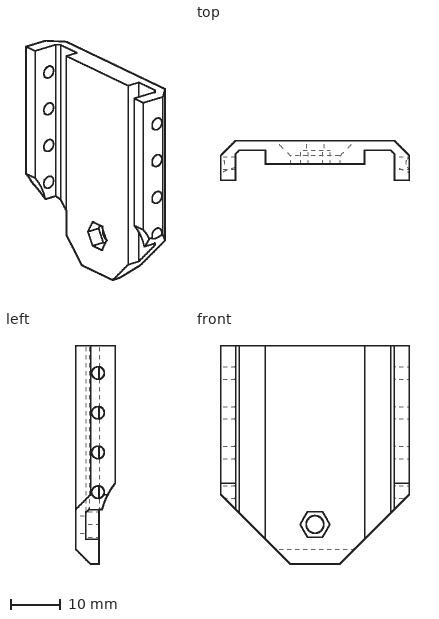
import cadquery as cq

width = 38.0
depth = 8.0
height = 44.0

rail_width = 3.0
web_thickness = 2.0
pad_width = 20.0
pad_thickness = 4.75
edge_chamfer = 3.0
channel_corner_chamfer = 0.7

tip_width = 10.0

rail_hole_diameter = 2.5
rail_hole_count = 4
rail_hole_pitch = 8.0
rail_hole_top_offset = 5.5
rail_hole_y = 3.5

bolt_diameter = 3.5
bolt_z = 8.0
nut_across_corners = 6.0

relief_radius = 13.0
relief_axis_y = -10.0

half_width = width / 2
half_pad = pad_width / 2
rail_inner_x = half_width - rail_width
web_front_y = depth - web_thickness
pad_front_y = depth - pad_thickness
nut_depth = pad_thickness - web_thickness
taper_height = half_width - tip_width / 2


def make_body():
    """Extrude the channel cross-section, mirrored about X = 0, up the full height."""
    half_section = [
        (0, depth),
        (half_width - edge_chamfer, depth),
        (half_width, depth - edge_chamfer),
        (half_width, 0),
        (rail_inner_x, 0),
        (rail_inner_x, web_front_y - channel_corner_chamfer),
        (rail_inner_x - channel_corner_chamfer, web_front_y),
        (half_pad, web_front_y),
        (half_pad, pad_front_y),
        (0, pad_front_y),
    ]
    return cq.Workplane("XY").polyline(half_section).mirrorY().extrude(height)


def taper_envelope():
    """Front outline of the plate: square top and 45 degree tapered lower corners."""
    outline = [
        (-half_width, height),
        (half_width, height),
        (half_width, taper_height),
        (tip_width / 2, 0),
        (-tip_width / 2, 0),
        (-half_width, taper_height),
    ]
    return cq.Workplane("XZ").polyline(outline).close().extrude(-depth)


def tip_chamfer():
    """Wedge removed from the back of the bottom edge."""
    wedge = [(depth, 0), (depth, edge_chamfer), (depth - edge_chamfer, 0)]
    return cq.Workplane("YZ").polyline(wedge).close().extrude(half_width, both=True)


def rail_relief():
    """Cylinder along X that hollows both rail feet and stays clear of the pad."""
    profile = cq.Workplane("YZ").center(relief_axis_y, bolt_z).circle(relief_radius)
    return profile.extrude(half_width, both=True)


def rail_holes():
    """Rows of cross holes along X, through each rail but not the pad between them."""
    top_z = height - rail_hole_top_offset
    centres = [(rail_hole_y, top_z - i * rail_hole_pitch) for i in range(rail_hole_count)]
    row = (
        cq.Workplane("YZ", origin=(rail_inner_x, 0, 0))
        .pushPoints(centres)
        .circle(rail_hole_diameter / 2)
        .extrude(rail_width)
    )
    return row.union(row.mirror("YZ"))


def bolt_hole():
    """Through hole along Y with a hex pocket sunk through the pad to the web's front plane."""
    bolt = cq.Workplane("XZ").center(0, bolt_z).circle(bolt_diameter / 2).extrude(-depth)
    pocket = (
        cq.Workplane("XZ", origin=(0, pad_front_y, 0))
        .center(0, bolt_z)
        .polygon(6, nut_across_corners)
        .extrude(-nut_depth)
    )
    return bolt.union(pocket)


result = (
    make_body()
    .intersect(taper_envelope())
    .cut(tip_chamfer())
    .cut(rail_relief())
    .cut(rail_holes())
    .cut(bolt_hole())
)